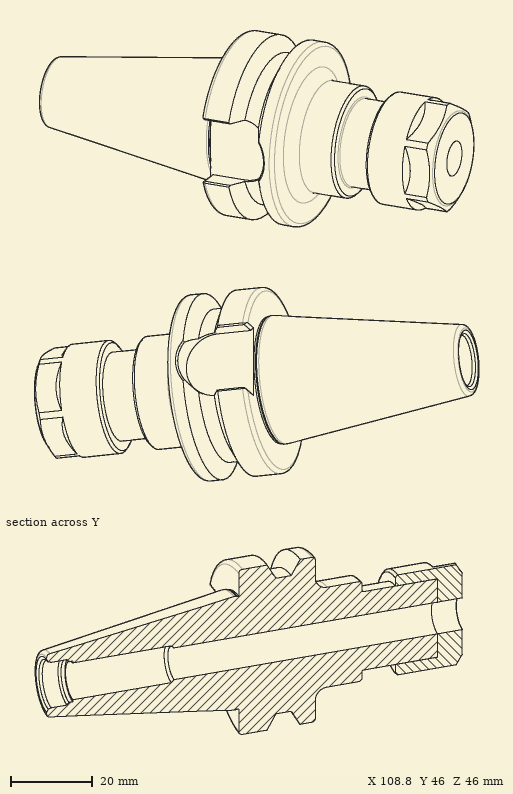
import cadquery as cq
import math

LENGTH = 108.8

GAUGE_RADIUS = 15.9
GAUGE_X = 49.0
TAPER_SLOPE = 7 / 48
TIP_FILLET = 1.0
RELIEF_RADIUS = 31.4 / 2
RELIEF_START = 49.5
RELIEF_CONE_END = 49.8

FLANGE_RADIUS = 46.0 / 2
FLANGE_START = 50.3
FLANGE_END = 70.4
FLANGE_FILLET = 1.0
GROOVE_RADIUS = 18.9
GROOVE_FLOOR_START = 60.1
GROOVE_FLOOR_END = 64.0
GROOVE_HALF_ANGLE = 30
GROOVE_SIDE_RUN = (FLANGE_RADIUS - GROOVE_RADIUS) * math.tan(math.radians(GROOVE_HALF_ANGLE))

SLOT_HALF_WIDTH = 8.0
SLOT_FLOOR = 16.1
SLOT_TIP = 67.7
SLOT_MOUTH_CHAMFER = 0.7
SLOT_RIM_CHAMFER = 0.4

EDGE_MARGIN = 0.1

NOSE_RADIUS = 28.0 / 2
NOSE_END = 82.6
NOSE_FILLET = 2.9
EDGE_CHAMFER = 0.7
SPIGOT_RADIUS = 22.0 / 2
SPIGOT_ROOT_FILLET = 0.3
SPIGOT_END = 102.3

MOUTH_RADIUS = 14.7 / 2
MOUTH_CONE_RADIUS = 13.1 / 2
MOUTH_CONE_END = 0.4
LEAD_RADIUS = 12.5 / 2
LEAD_START = 1.2
LEAD_END = 5.3
SEAT_RADIUS = 11.2 / 2
SEAT_START = 5.9
SEAT_END = 6.9
THREAD_RADIUS = 10.1 / 2
THREAD_END = 32.6
THROUGH_RADIUS = 4.4
THREAD_RUNOUT = THREAD_RADIUS - THROUGH_RADIUS

NUT_START = 91.2
NUT_RADIUS = NOSE_RADIUS
HEX_START = 101.3
HEX_FLAT_RADIUS = 12.5
HEX_SIDES = 6
HALF_SIDE_ANGLE = 180 / HEX_SIDES
NUT_CONE_START = 107.2
NUT_CONE_END = 108.5
NUT_CONE_END_RADIUS = 23.6 / 2
NUT_FACE_RADIUS = 11.3


def revolve_about_x(profile):
    return profile.close().revolve(360, (0, 0, 0), (1, 0, 0))


def make_holder_body():
    tip_radius = GAUGE_RADIUS - GAUGE_X * TAPER_SLOPE
    profile = (
        cq.Workplane("XY")
        .moveTo(0, 0)
        .lineTo(0, tip_radius)
        .lineTo(GAUGE_X, GAUGE_RADIUS)
        .lineTo(RELIEF_START, GAUGE_RADIUS)
        .lineTo(RELIEF_CONE_END, RELIEF_RADIUS)
        .lineTo(FLANGE_START, RELIEF_RADIUS)
        .lineTo(FLANGE_START, FLANGE_RADIUS)
        .lineTo(GROOVE_FLOOR_START - GROOVE_SIDE_RUN, FLANGE_RADIUS)
        .lineTo(GROOVE_FLOOR_START, GROOVE_RADIUS)
        .lineTo(GROOVE_FLOOR_END, GROOVE_RADIUS)
        .lineTo(GROOVE_FLOOR_END + GROOVE_SIDE_RUN, FLANGE_RADIUS)
        .lineTo(FLANGE_END, FLANGE_RADIUS)
        .lineTo(FLANGE_END, NOSE_RADIUS + NOSE_FILLET)
        .radiusArc((FLANGE_END + NOSE_FILLET, NOSE_RADIUS), -NOSE_FILLET)
        .lineTo(NOSE_END - EDGE_CHAMFER, NOSE_RADIUS)
        .lineTo(NOSE_END, NOSE_RADIUS - EDGE_CHAMFER)
        .lineTo(NOSE_END, SPIGOT_RADIUS + SPIGOT_ROOT_FILLET)
        .radiusArc((NOSE_END + SPIGOT_ROOT_FILLET, SPIGOT_RADIUS), -SPIGOT_ROOT_FILLET)
        .lineTo(SPIGOT_END, SPIGOT_RADIUS)
        .lineTo(SPIGOT_END, 0)
    )
    body = revolve_about_x(profile)
    body = body.edges("<X").fillet(TIP_FILLET)
    reach = FLANGE_RADIUS + EDGE_MARGIN
    for face_x in (FLANGE_START, FLANGE_END):
        face_edges = cq.selectors.BoxSelector(
            (face_x - EDGE_MARGIN, -reach, -reach),
            (face_x + EDGE_MARGIN, reach, reach),
        )
        outer_rim = cq.selectors.RadiusNthSelector(-1)
        body = body.edges(face_edges).edges(outer_rim).fillet(FLANGE_FILLET)
    return body


def make_bore():
    profile = (
        cq.Workplane("XY")
        .moveTo(0, 0)
        .lineTo(0, MOUTH_RADIUS)
        .lineTo(MOUTH_CONE_END, MOUTH_CONE_RADIUS)
        .lineTo(LEAD_START, LEAD_RADIUS)
        .lineTo(LEAD_END, LEAD_RADIUS)
        .lineTo(SEAT_START, SEAT_RADIUS)
        .lineTo(SEAT_END, SEAT_RADIUS)
        .lineTo(SEAT_END, THREAD_RADIUS)
        .lineTo(THREAD_END, THREAD_RADIUS)
        .lineTo(THREAD_END + THREAD_RUNOUT, THROUGH_RADIUS)
        .lineTo(LENGTH, THROUGH_RADIUS)
        .lineTo(LENGTH, 0)
    )
    return revolve_about_x(profile)


def make_drive_slot(side):
    """Slot open toward the shank with a round inner end; side is +1 or -1 for +Y or -Y."""
    arc_center = SLOT_TIP - SLOT_HALF_WIDTH
    mouth = SLOT_HALF_WIDTH + SLOT_MOUTH_CHAMFER
    outline = (
        cq.Workplane("XZ")
        .moveTo(FLANGE_START, -mouth)
        .lineTo(FLANGE_START + SLOT_MOUTH_CHAMFER, -SLOT_HALF_WIDTH)
        .lineTo(arc_center, -SLOT_HALF_WIDTH)
        .threePointArc((SLOT_TIP, 0), (arc_center, SLOT_HALF_WIDTH))
        .lineTo(FLANGE_START + SLOT_MOUTH_CHAMFER, SLOT_HALF_WIDTH)
        .lineTo(FLANGE_START, mouth)
        .close()
    )
    depth = FLANGE_RADIUS - SLOT_FLOOR
    slot = outline.extrude(-depth).translate((0, SLOT_FLOOR, 0))
    return slot if side > 0 else slot.mirror("XZ")


def chamfer_slot_rim(holder, side):
    """Break the edges where one drive slot meets the outer cylinder of the flange."""
    rim_y = math.sqrt(FLANGE_RADIUS**2 - SLOT_HALF_WIDTH**2)
    rim_box = cq.selectors.BoxSelector(
        (FLANGE_START + FLANGE_FILLET, side * (rim_y - EDGE_MARGIN), -SLOT_HALF_WIDTH - EDGE_MARGIN),
        (SLOT_TIP, side * (FLANGE_RADIUS + EDGE_MARGIN), SLOT_HALF_WIDTH + EDGE_MARGIN),
    )
    return holder.edges(rim_box).chamfer(SLOT_RIM_CHAMFER)


def make_holder():
    holder = make_holder_body().cut(make_bore())
    for side in (1, -1):
        holder = holder.cut(make_drive_slot(side))
        holder = chamfer_slot_rim(holder, side)
    return holder


def make_nut():
    """Round nut with six wrench flats on its front, screwed onto the spigot."""
    profile = (
        cq.Workplane("XY")
        .moveTo(NUT_START, 0)
        .lineTo(NUT_START, NUT_RADIUS - EDGE_CHAMFER)
        .lineTo(NUT_START + EDGE_CHAMFER, NUT_RADIUS)
        .lineTo(NUT_CONE_START, NUT_RADIUS)
        .lineTo(NUT_CONE_END, NUT_CONE_END_RADIUS)
        .lineTo(LENGTH, NUT_FACE_RADIUS)
        .lineTo(LENGTH, 0)
    )
    blank = revolve_about_x(profile)
    hexagon = (
        cq.Workplane("YZ", origin=(HEX_START, 0, 0))
        .polygon(HEX_SIDES, 2 * HEX_FLAT_RADIUS / math.cos(math.radians(HALF_SIDE_ANGLE)))
        .extrude(LENGTH - HEX_START)
        .rotate((0, 0, 0), (1, 0, 0), HALF_SIDE_ANGLE)
    )
    runout = NUT_RADIUS - HEX_FLAT_RADIUS
    collar_profile = (
        cq.Workplane("XY")
        .moveTo(NUT_START, 0)
        .lineTo(NUT_START, NUT_RADIUS)
        .lineTo(HEX_START, NUT_RADIUS)
        .lineTo(HEX_START + runout, HEX_FLAT_RADIUS)
        .lineTo(HEX_START + runout, 0)
    )
    nut = blank.intersect(revolve_about_x(collar_profile).union(hexagon))
    nut_back = cq.Workplane("YZ", origin=(NUT_START, 0, 0))
    spigot_hole = nut_back.circle(SPIGOT_RADIUS).extrude(SPIGOT_END - NUT_START)
    front_hole = nut_back.circle(THROUGH_RADIUS).extrude(LENGTH - NUT_START)
    return nut.cut(spigot_hole).cut(front_hole)


holder = make_holder()
nut = make_nut()
result = cq.Compound.makeCompound([holder.val(), nut.val()])